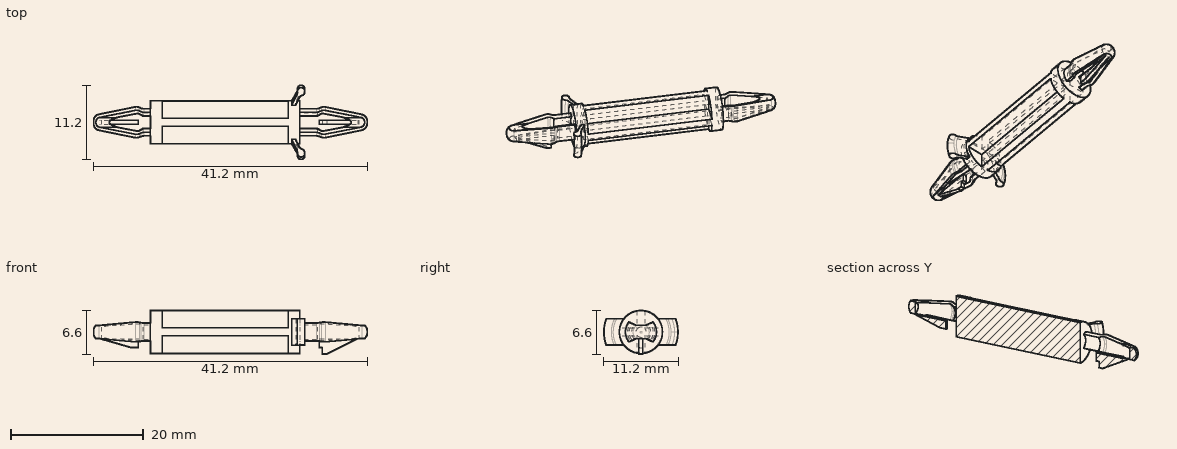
import cadquery as cq
import math

BODY_LENGTH = 22.5
BODY_RADIUS = 3.25
COLLAR_LENGTH = 1.75
WEB_THICKNESS = 1.2

OVERALL_LENGTH = 41.24
LEFT_REACH = 8.58
RIGHT_REACH = OVERALL_LENGTH - BODY_LENGTH - LEFT_REACH
LEFT_NOSE_ROUND = 1.0
RIGHT_NOSE_ROUND = 1.1

CONE_ANGLE = math.radians(11.5)
CONE_FRONT_RADIUS = 1.22
BELLY_RADIUS = 2.4
BELLY_ROUND = 1.0
SHOULDER_ANGLE = math.radians(25)
SHOULDER_ROUND = 1.1
STEM_RADIUS = 2.05

HOLLOW_START_DEPTH = 0.4
HOLLOW_START_RADIUS = 0.78
HOLLOW_PEAK_DEPTH = 5.95
HOLLOW_PEAK_RADIUS = 1.85
HOLLOW_STEM_DEPTH = 6.65
HOLLOW_STEM_RADIUS = 1.44
HOLLOW_ROUND = 0.5

FLAT_HALF_WIDTH = 0.72
FLAT_HALF_HEIGHT = 1.0
FLARE_ANGLE = math.radians(25)

BARB_THICKNESS = 0.62
BARB_TOP = -1.0
SMALL_BARB_BOTTOM = -2.36
LARGE_BARB_BOTTOM = -3.35

WING_TIP_RADIUS = 5.6
WING_HALF_HEIGHT = 2.0
BEAD_RADIUS = 0.56
BEAD_OVERHANG = 0.19
WING_ROOT_RADIUS = 3.0
WING_ROOT_INSET = 1.4
WING_WIDTH = 0.6
WING_LEAN = math.radians(31)
BEAD_BLEND = 0.6

RADIUS_TOLERANCE = 0.001
PICK_MARGIN = 0.1

X_AXIS = ((0, 0, 0), (1, 0, 0))


def make_body():
    """Round bar with the four quadrants between the collars cut away."""
    body = cq.Workplane("YZ").circle(BODY_RADIUS).extrude(BODY_LENGTH)
    pocket_length = BODY_LENGTH - 2 * COLLAR_LENGTH
    pocket_offset = (WEB_THICKNESS + BODY_RADIUS) / 2
    for side_y in (-1, 1):
        for side_z in (-1, 1):
            pocket = (
                cq.Workplane("XY")
                .box(pocket_length, BODY_RADIUS, BODY_RADIUS)
                .translate((
                    BODY_LENGTH / 2,
                    side_y * pocket_offset,
                    side_z * pocket_offset,
                ))
            )
            body = body.cut(pocket)
    return body


def nose_length(nose_round):
    """Length of the rounded nose ahead of the cone, tangent to the cone."""
    return nose_round * (1 - math.sin(CONE_ANGLE))


def round_ring_edge(solid, ring_radius, fillet_radius):
    """Fillet the circular edge of a turned solid that has the given radius."""
    edges = solid.edges("%CIRCLE").filter(
        lambda edge: math.isclose(edge.radius(), ring_radius, abs_tol=RADIUS_TOLERANCE)
    )
    return solid.newObject(edges.vals()).fillet(fillet_radius)


def make_plug(stem_end, nose_round):
    """Solid pointed plug whose cone starts at x = 0 and whose stem ends at x = stem_end."""
    nose_tip = -nose_length(nose_round)
    nose_center_r = CONE_FRONT_RADIUS - nose_round * math.cos(CONE_ANGLE)
    mid_angle = (math.pi / 2 + CONE_ANGLE) / 2
    nose_mid = (
        nose_tip + nose_round * (1 - math.sin(mid_angle)),
        nose_center_r + nose_round * math.cos(mid_angle),
    )
    belly_depth = (BELLY_RADIUS - CONE_FRONT_RADIUS) / math.tan(CONE_ANGLE)
    stem_depth = belly_depth + (BELLY_RADIUS - STEM_RADIUS) / math.tan(SHOULDER_ANGLE)
    plug = (
        cq.Workplane("XY")
        .moveTo(nose_tip, 0)
        .lineTo(nose_tip, nose_center_r)
        .threePointArc(nose_mid, (0, CONE_FRONT_RADIUS))
        .lineTo(belly_depth, BELLY_RADIUS)
        .lineTo(stem_depth, STEM_RADIUS)
        .lineTo(stem_end, STEM_RADIUS)
        .lineTo(stem_end, 0)
        .close()
        .revolve(360, *X_AXIS)
    )
    plug = round_ring_edge(plug, BELLY_RADIUS, BELLY_ROUND)
    stem_front = cq.selectors.BoxSelector(
        (stem_depth - PICK_MARGIN, -BODY_RADIUS, -BODY_RADIUS),
        (stem_depth + PICK_MARGIN, BODY_RADIUS, BODY_RADIUS),
    )
    return plug.edges("%CIRCLE").edges(stem_front).fillet(SHOULDER_ROUND)


def make_hollow(stem_end):
    """Turned core that separates the two legs, open toward the body."""
    hollow = (
        cq.Workplane("XY")
        .moveTo(HOLLOW_START_DEPTH, 0)
        .lineTo(HOLLOW_START_DEPTH, HOLLOW_START_RADIUS)
        .lineTo(HOLLOW_PEAK_DEPTH, HOLLOW_PEAK_RADIUS)
        .lineTo(HOLLOW_STEM_DEPTH, HOLLOW_STEM_RADIUS)
        .lineTo(stem_end, HOLLOW_STEM_RADIUS)
        .lineTo(stem_end, 0)
        .close()
        .revolve(360, *X_AXIS)
    )
    return round_ring_edge(hollow, HOLLOW_PEAK_RADIUS, HOLLOW_ROUND)


def make_bow_tie(start, end):
    """Prism from x = start to x = end that trims a plug to two flared legs."""
    side_y = BODY_RADIUS
    side_z = FLAT_HALF_HEIGHT + (side_y - FLAT_HALF_WIDTH) * math.tan(FLARE_ANGLE)
    return (
        cq.Workplane("YZ", origin=(start, 0, 0))
        .moveTo(-FLAT_HALF_WIDTH, FLAT_HALF_HEIGHT)
        .lineTo(FLAT_HALF_WIDTH, FLAT_HALF_HEIGHT)
        .lineTo(side_y, side_z)
        .lineTo(side_y, -side_z)
        .lineTo(FLAT_HALF_WIDTH, -FLAT_HALF_HEIGHT)
        .lineTo(-FLAT_HALF_WIDTH, -FLAT_HALF_HEIGHT)
        .lineTo(-side_y, -side_z)
        .lineTo(-side_y, side_z)
        .close()
        .extrude(end - start)
    )


def make_snap(reach, nose_round, barb_outline):
    """Two-legged snap-in end pointing to -X, its stem ending at x = 0, with an XZ barb outline."""
    nose = nose_length(nose_round)
    stem_end = reach - nose
    legs = make_plug(stem_end, nose_round).cut(make_hollow(stem_end))
    legs = legs.intersect(make_bow_tie(-nose, stem_end))
    barb = (
        cq.Workplane("XZ")
        .polyline(barb_outline)
        .close()
        .extrude(BARB_THICKNESS / 2, both=True)
    )
    return legs.union(barb).translate((-stem_end, 0, 0))


def make_left_snap():
    """Left-hand end with a single-step barb."""
    barb_front = 0.1
    foot_front = 4.85
    barb_back = 5.95
    barb_outline = [
        (barb_front, BARB_TOP),
        (foot_front, SMALL_BARB_BOTTOM),
        (barb_back, SMALL_BARB_BOTTOM),
        (barb_back, BARB_TOP),
    ]
    return make_snap(LEFT_REACH, LEFT_NOSE_ROUND, barb_outline)


def make_right_snap():
    """Right-hand end with a deeper, stepped barb."""
    barb_front = 0.57
    foot_front = 5.27
    hook_back = 5.92
    barb_back = 6.4
    barb_outline = [
        (barb_front, BARB_TOP),
        (foot_front, LARGE_BARB_BOTTOM),
        (hook_back, LARGE_BARB_BOTTOM),
        (hook_back, SMALL_BARB_BOTTOM),
        (barb_back, SMALL_BARB_BOTTOM),
        (barb_back, BARB_TOP),
    ]
    snap = make_snap(RIGHT_REACH, RIGHT_NOSE_ROUND, barb_outline)
    return snap.mirror("YZ").translate((BODY_LENGTH, 0, 0))


def make_wings():
    """Flared beaded ring around the body, trimmed in Z to two opposite wings."""
    bead_x = BODY_LENGTH + BEAD_OVERHANG
    bead_r = WING_TIP_RADIUS - BEAD_RADIUS
    root_x = BODY_LENGTH - WING_ROOT_INSET
    lean_x = (bead_r - WING_ROOT_RADIUS) * math.tan(WING_LEAN)
    blade = (
        cq.Workplane("XY")
        .moveTo(root_x, WING_ROOT_RADIUS)
        .lineTo(root_x + WING_WIDTH, WING_ROOT_RADIUS)
        .lineTo(root_x + WING_WIDTH + lean_x, bead_r)
        .lineTo(root_x + lean_x, bead_r)
        .close()
        .revolve(360, *X_AXIS)
    )
    bead = (
        cq.Workplane("XY")
        .moveTo(bead_x, bead_r)
        .circle(BEAD_RADIUS)
        .revolve(360, *X_AXIS)
    )
    slab = (
        cq.Workplane("XY")
        .box(2 * BODY_LENGTH, 3 * WING_TIP_RADIUS, 2 * WING_HALF_HEIGHT)
        .translate((BODY_LENGTH, 0, 0))
    )
    core = cq.Workplane("YZ").circle(WING_ROOT_RADIUS).extrude(BODY_LENGTH)
    ring = blade.union(bead)
    junctions = ring.edges("%CIRCLE").filter(
        lambda edge: edge.radius() > WING_ROOT_RADIUS + BEAD_RADIUS
    )
    ring = ring.newObject(junctions.vals()).fillet(BEAD_BLEND)
    return ring.intersect(slab).cut(core)


result = (
    make_body()
    .union(make_left_snap())
    .union(make_right_snap())
    .union(make_wings())
)